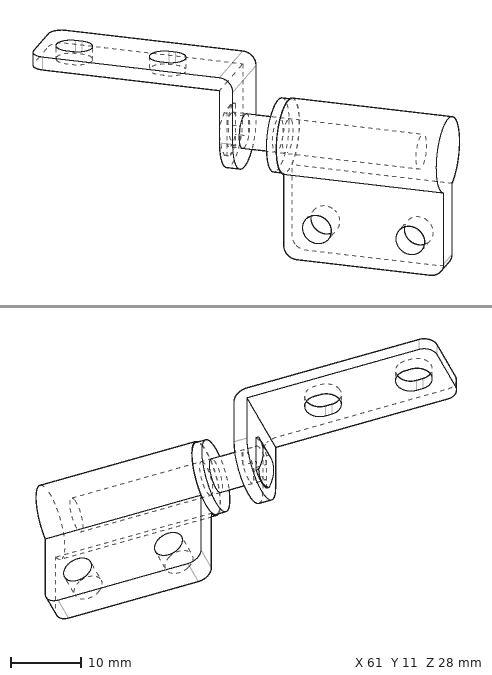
import cadquery as cq


plate_thickness = 2.0
bracket_width = 11.0
bracket_length = 30.5
bracket_top = 10.0
bend_radius = 2.0
tip_corner_radius = 2.0
slot_width = 4.3
slot_length = 5.3

barrel_diameter = 11.0
barrel_length = 24.0
leaf_thickness = 4.0
leaf_bottom = -18.0
leaf_corner_radius = 2.0
leaf_hole_diameter = 4.3
leaf_hole_margin = 5.0

hole_spacing = 14.0
hole_end_margin = 5.0

collar_diameter = 10.7
collar_length = 1.5

shaft_diameter = 5.0
shaft_gap = 5.0
shaft_depth_in_barrel = 20.0
tang_width = 4.0
head_diameter = 7.6
head_rise = 1.1
head_edge_height = 0.1

collar_start = shaft_gap
barrel_start = collar_start + collar_length
barrel_end = barrel_start + barrel_length
shaft_end = barrel_start + shaft_depth_in_barrel
bracket_tip = -bracket_length
leaf_hole_height = leaf_bottom + leaf_hole_margin


def axial_cylinder(diameter, start, end):
    """Cylinder on the hinge axis between two X stations."""
    return cq.Workplane("YZ", origin=(start, 0, 0)).circle(diameter / 2).extrude(end - start)


def centred_slab(width):
    """Slab of the given Y width about the hinge axis, larger than the pin in X and Z."""
    reach = 2 * bracket_length
    return cq.Workplane("XY").box(reach, width, reach)


def make_tang():
    """Shaft end with two flats, filling the hole through the bracket."""
    return axial_cylinder(shaft_diameter, -plate_thickness, 0).intersect(centred_slab(tang_width))


def make_head():
    """Pin head with two flats and a face arched in the XZ plane."""
    seat = -plate_thickness
    edge = seat - head_edge_height
    crown = seat - head_rise
    radius = head_diameter / 2
    arched_block = (
        cq.Workplane("XZ")
        .moveTo(seat, -radius)
        .lineTo(edge, -radius)
        .threePointArc((crown, 0), (edge, radius))
        .lineTo(seat, radius)
        .close()
        .extrude(tang_width / 2, both=True)
    )
    return arched_block.intersect(axial_cylinder(head_diameter, crown, seat))


def make_pin():
    shaft = axial_cylinder(shaft_diameter, 0, shaft_end)
    return shaft.union(make_tang()).union(make_head())


def make_bracket():
    arm_height = bracket_top - plate_thickness / 2
    arm = (
        cq.Workplane("XY")
        .box(bracket_length, bracket_width, plate_thickness)
        .translate((-bracket_length / 2, 0, arm_height))
        .edges("|Z and <X")
        .fillet(tip_corner_radius)
    )
    upright = (
        cq.Workplane("XY")
        .box(plate_thickness, bracket_width, bracket_top)
        .translate((-plate_thickness / 2, 0, bracket_top / 2))
    )
    round_end = axial_cylinder(bracket_width, -plate_thickness, 0)
    bracket = arm.union(upright).union(round_end)
    bracket = bracket.edges("|Y and >X and >Z").fillet(bend_radius)

    first_slot = bracket_tip + hole_end_margin
    slots = (
        cq.Workplane("XY", origin=(0, 0, bracket_top))
        .pushPoints([(first_slot, 0), (first_slot + hole_spacing, 0)])
        .slot2D(slot_length, slot_width)
        .extrude(-plate_thickness)
    )
    return bracket.cut(slots).cut(make_tang())


def make_collar():
    collar = axial_cylinder(collar_diameter, collar_start, barrel_start)
    return collar.cut(axial_cylinder(shaft_diameter, collar_start, barrel_start))


def make_housing():
    leaf = (
        cq.Workplane("XY")
        .box(barrel_length, leaf_thickness, -leaf_bottom)
        .translate((barrel_start + barrel_length / 2, 0, leaf_bottom / 2))
        .edges("|Y and <Z")
        .fillet(leaf_corner_radius)
    )
    first_hole = barrel_start + hole_end_margin
    holes = (
        cq.Workplane("XZ", origin=(0, leaf_thickness / 2, 0))
        .pushPoints([(first_hole, leaf_hole_height), (first_hole + hole_spacing, leaf_hole_height)])
        .circle(leaf_hole_diameter / 2)
        .extrude(leaf_thickness)
    )
    barrel = axial_cylinder(barrel_diameter, barrel_start, barrel_end)
    shaft_bore = axial_cylinder(shaft_diameter, barrel_start, shaft_end)
    return barrel.union(leaf).cut(holes).cut(shaft_bore)


bracket = make_bracket()
pin = make_pin()
collar = make_collar()
housing = make_housing()

result = cq.Compound.makeCompound([bracket.val(), pin.val(), collar.val(), housing.val()])